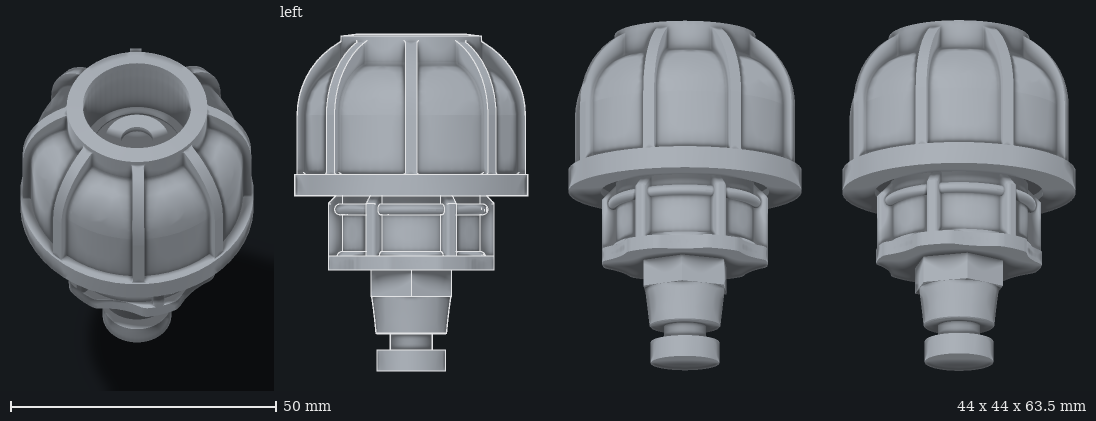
import cadquery as cq
import math

TOTAL_HEIGHT = 63.5
FOOT_TOP = 4.0
CONE_BOTTOM = 7.0
HEX_BOTTOM = 14.1
FLANGE_BOTTOM = 19.05
LOWER_BEAD_HEIGHT = 21.5
FLANGE_TOP = 21.65
UPPER_BEAD_HEIGHT = 30.5
SPLINE_SHOULDER = 31.6
CAP_BOTTOM = 33.0
RIM_TOP = 37.1
DOME_START = 48.2
SLEEVE_TOP = DOME_START
PLUG_TOP = 50.5
PLUG_HUB_TOP = 53.2
NECK_EDGE = 63.1

RIM_DIAMETER = 44.0
RIM_RADIUS = RIM_DIAMETER / 2
CAP_RADIUS = 20.0
DOME_ARC_RADIUS = 10.05
NECK_RADIUS = 13.3
NECK_FILLET = 0.75
CAP_BORE_RADIUS = 10.2
CAP_RIB_COUNT = 8
CAP_RIB_WIDTH = 2.15
CAP_RIB_RADIUS = 21.5
CAP_RIB_ARC_RADIUS = 15.8
CAP_RIB_FILLET = 0.4
ENTRY_CLEARANCE = 0.25
MATCH_TOLERANCE = 0.03

SLEEVE_RADIUS = 13.0
SPLINE_RADIUS = 15.6
SPLINE_WIDTH = 2.15
SPLINE_FILLET = 0.65
SPLINE_COUNT = 6
SPLINE_START_ANGLE = 30.0
BEAD_RADIUS = 1.0
UPPER_BEAD_CENTRE_RADIUS = 13.45
LOWER_BEAD_CENTRE_RADIUS = SLEEVE_RADIUS
SCALLOP_FLOOR_RADIUS = 14.1
SCALLOP_ARC_RADIUS = 13.6
SCALLOP_FILLET = 2.7
LOBE_TWIST = 1.8

PLUG_EDGE_CHAMFER = 0.2
PLUG_RECESS_RADIUS = 8.5
PLUG_RECESS_DEPTH = 0.3
HUB_BASE_RADIUS = 6.4
HUB_TOP_RADIUS = 6.05
HUB_HOLE_RADIUS = 3.05
HUB_HOLE_DEPTH = 1.3

HEX_SIDES = 6
HEX_ACROSS_CORNERS = 17.5
CONE_TOP_RADIUS = 7.5
CONE_BOTTOM_RADIUS = 6.65
CONE_CHAMFER = 0.2
STEM_RADIUS = 4.0
FOOT_RADIUS = 6.5


def cylinder(radius, bottom, top):
    return cq.Workplane("XY").workplane(offset=bottom).circle(radius).extrude(top - bottom)


def turned(profile):
    """Revolve a closed XZ profile one full turn about Z."""
    return profile.revolve(360, (0, 0, 0), (0, 1, 0))


def arc_height(centre_radius, arc_radius, radius):
    """Height at a given radius of an arc that rises from the dome start."""
    return DOME_START + math.sqrt(arc_radius**2 - (radius - centre_radius) ** 2)


def arc_middle(centre_radius, arc_radius, end_radius):
    """Point halfway along that arc, from the dome start to end_radius."""
    half_angle = math.acos((end_radius - centre_radius) / arc_radius) / 2
    return (
        centre_radius + arc_radius * math.cos(half_angle),
        DOME_START + arc_radius * math.sin(half_angle),
    )


def cap_shell():
    """Solid of revolution: rim, cylindrical wall, dome and neck."""
    dome_centre = CAP_RADIUS - DOME_ARC_RADIUS
    dome_end = arc_height(dome_centre, DOME_ARC_RADIUS, NECK_RADIUS)
    profile = (
        cq.Workplane("XZ")
        .moveTo(0, CAP_BOTTOM)
        .lineTo(RIM_RADIUS, CAP_BOTTOM)
        .lineTo(RIM_RADIUS, RIM_TOP)
        .lineTo(CAP_RADIUS, RIM_TOP)
        .lineTo(CAP_RADIUS, DOME_START)
        .threePointArc(arc_middle(dome_centre, DOME_ARC_RADIUS, NECK_RADIUS), (NECK_RADIUS, dome_end))
        .lineTo(NECK_RADIUS, NECK_EDGE)
        .lineTo(CAP_BORE_RADIUS, TOTAL_HEIGHT)
        .lineTo(0, TOTAL_HEIGHT)
        .close()
    )
    neck_foot = cq.selectors.BoxSelector(
        (-RIM_RADIUS, -RIM_RADIUS, dome_end - MATCH_TOLERANCE),
        (RIM_RADIUS, RIM_RADIUS, dome_end + MATCH_TOLERANCE),
    )
    dome_edge = turned(profile).edges("%CIRCLE").edges(neck_foot)
    return dome_edge.fillet(NECK_FILLET)


def cap_rib(angle):
    """One curved rib that stands on the rim and leans over to the neck."""
    arc_centre = CAP_RIB_RADIUS - CAP_RIB_ARC_RADIUS
    inner_radius = (CAP_BORE_RADIUS + NECK_RADIUS) / 2
    rib_top = arc_height(arc_centre, CAP_RIB_ARC_RADIUS, inner_radius)
    rib = (
        cq.Workplane("XZ")
        .moveTo(inner_radius, RIM_TOP)
        .lineTo(CAP_RIB_RADIUS, RIM_TOP)
        .lineTo(CAP_RIB_RADIUS, DOME_START)
        .threePointArc(arc_middle(arc_centre, CAP_RIB_ARC_RADIUS, inner_radius), (inner_radius, rib_top))
        .close()
        .extrude(CAP_RIB_WIDTH / 2, both=True)
    )
    return rib.rotate((0, 0, 0), (0, 0, 1), angle)


def is_rib_root(edge, angle):
    """True for an edge where the rib at this angle meets the shell."""
    middle = edge.positionAt(0.5)
    turn = math.radians(angle)
    along = middle.x * math.cos(turn) + middle.y * math.sin(turn)
    across = -middle.x * math.sin(turn) + middle.y * math.cos(turn)
    if along < 0:
        return False
    arc_centre = CAP_RIB_RADIUS - CAP_RIB_ARC_RADIUS
    if abs(across) < MATCH_TOLERANCE:
        rib_top = arc_height(arc_centre, CAP_RIB_ARC_RADIUS, NECK_RADIUS)
        return abs(along - NECK_RADIUS) < MATCH_TOLERANCE and abs(middle.z - rib_top) < MATCH_TOLERANCE
    on_side = abs(abs(across) - CAP_RIB_WIDTH / 2) < MATCH_TOLERANCE
    distance_to_crown = math.hypot(along - arc_centre, max(middle.z - DOME_START, 0.0))
    return on_side and distance_to_crown < CAP_RIB_ARC_RADIUS - MATCH_TOLERANCE


def make_cap():
    """Ribbed dome with a through bore, widened below to take the sleeve."""
    cap = cap_shell()
    rib_angles = [i * 360 / CAP_RIB_COUNT for i in range(CAP_RIB_COUNT)]
    for angle in rib_angles:
        cap = cap.union(cap_rib(angle))
    roots = [e for e in cap.edges().vals() if any(is_rib_root(e, a) for a in rib_angles)]
    cap = cap.newObject(roots).fillet(CAP_RIB_FILLET)
    entry_top = SPLINE_SHOULDER + SPLINE_RADIUS - SLEEVE_RADIUS + ENTRY_CLEARANCE
    cap = cap.cut(cylinder(SPLINE_RADIUS + ENTRY_CLEARANCE, CAP_BOTTOM, entry_top))
    cap = cap.cut(cylinder(SLEEVE_RADIUS, CAP_BOTTOM, SLEEVE_TOP))
    return cap.cut(cylinder(CAP_BORE_RADIUS, CAP_BOTTOM, TOTAL_HEIGHT))


def bead(centre_radius, height):
    """Round ring of circular section around the sleeve."""
    section = cq.Workplane("XZ").center(centre_radius, height).circle(BEAD_RADIUS)
    return section.revolve(360, (-centre_radius, 0, 0), (-centre_radius, 1, 0))


def lobed_flange():
    """Disc with one lobe per spline, cut by concave scallops between rounded lobes."""
    flange = cylinder(SPLINE_RADIUS, FLANGE_BOTTOM, FLANGE_TOP)
    scallops = (
        cq.Workplane("XY")
        .workplane(offset=FLANGE_BOTTOM)
        .polarArray(SCALLOP_FLOOR_RADIUS + SCALLOP_ARC_RADIUS, LOBE_TWIST, 360, SPLINE_COUNT)
        .circle(SCALLOP_ARC_RADIUS)
        .extrude(FLANGE_TOP - FLANGE_BOTTOM, combine=False)
    )
    for scallop in scallops.solids().vals():
        flange = flange.cut(cq.Workplane(scallop))
    return flange.edges("|Z").fillet(SCALLOP_FILLET)


def spline(angle):
    """One straight rib of the sleeve, with a 45 degree lead-in at its top."""
    inner_radius = SLEEVE_RADIUS / 2
    rib = (
        cq.Workplane("XZ")
        .moveTo(inner_radius, FLANGE_TOP)
        .lineTo(SPLINE_RADIUS, FLANGE_TOP)
        .lineTo(SPLINE_RADIUS, SPLINE_SHOULDER)
        .lineTo(inner_radius, SPLINE_SHOULDER + SPLINE_RADIUS - inner_radius)
        .close()
        .extrude(SPLINE_WIDTH / 2, both=True)
    )
    outer_corners = rib.edges("not (|Y or <X or #Z)")
    return outer_corners.fillet(SPLINE_FILLET).rotate((0, 0, 0), (0, 0, 1), angle)


def make_sleeve():
    """Core with splines, two round beads and a lobed flange at its foot."""
    sleeve = cylinder(SLEEVE_RADIUS, FLANGE_BOTTOM, SLEEVE_TOP)
    for i in range(SPLINE_COUNT):
        sleeve = sleeve.union(spline(SPLINE_START_ANGLE + i * 360 / SPLINE_COUNT))
    sleeve = sleeve.union(lobed_flange())
    sleeve = sleeve.union(bead(UPPER_BEAD_CENTRE_RADIUS, UPPER_BEAD_HEIGHT))
    return sleeve.union(bead(LOWER_BEAD_CENTRE_RADIUS, LOWER_BEAD_HEIGHT))


def make_plug():
    """Disc that rests on the sleeve inside the cap bore, with a tapered hub."""
    recess_floor = PLUG_TOP - PLUG_RECESS_DEPTH
    profile = (
        cq.Workplane("XZ")
        .moveTo(0, SLEEVE_TOP)
        .lineTo(CAP_BORE_RADIUS, SLEEVE_TOP)
        .lineTo(CAP_BORE_RADIUS, PLUG_TOP - PLUG_EDGE_CHAMFER)
        .lineTo(CAP_BORE_RADIUS - PLUG_EDGE_CHAMFER, PLUG_TOP)
        .lineTo(PLUG_RECESS_RADIUS, PLUG_TOP)
        .lineTo(PLUG_RECESS_RADIUS, recess_floor)
        .lineTo(HUB_BASE_RADIUS, recess_floor)
        .lineTo(HUB_TOP_RADIUS, PLUG_HUB_TOP)
        .lineTo(HUB_HOLE_RADIUS, PLUG_HUB_TOP)
        .lineTo(HUB_HOLE_RADIUS, PLUG_HUB_TOP - HUB_HOLE_DEPTH)
        .lineTo(0, PLUG_HUB_TOP - HUB_HOLE_DEPTH)
        .close()
    )
    return turned(profile)


def make_nipple():
    """Hexagon under the flange, tapering down in a cone."""
    hexagon = (
        cq.Workplane("XY")
        .workplane(offset=HEX_BOTTOM)
        .polygon(HEX_SIDES, HEX_ACROSS_CORNERS)
        .extrude(FLANGE_BOTTOM - HEX_BOTTOM)
    )
    cone = turned(
        cq.Workplane("XZ")
        .moveTo(0, CONE_BOTTOM)
        .lineTo(CONE_BOTTOM_RADIUS - CONE_CHAMFER, CONE_BOTTOM)
        .lineTo(CONE_BOTTOM_RADIUS, CONE_BOTTOM + CONE_CHAMFER)
        .lineTo(CONE_TOP_RADIUS, HEX_BOTTOM)
        .lineTo(0, HEX_BOTTOM)
        .close()
    )
    return hexagon.union(cone)


def make_stem():
    """Neck below the cone, ending in a wide foot."""
    return cylinder(FOOT_RADIUS, 0, FOOT_TOP).union(cylinder(STEM_RADIUS, FOOT_TOP, CONE_BOTTOM))


cap = make_cap()
sleeve = make_sleeve()
plug = make_plug()
nipple = make_nipple()
stem = make_stem()

result = cq.Compound.makeCompound([cap.val(), sleeve.val(), plug.val(), nipple.val(), stem.val()])